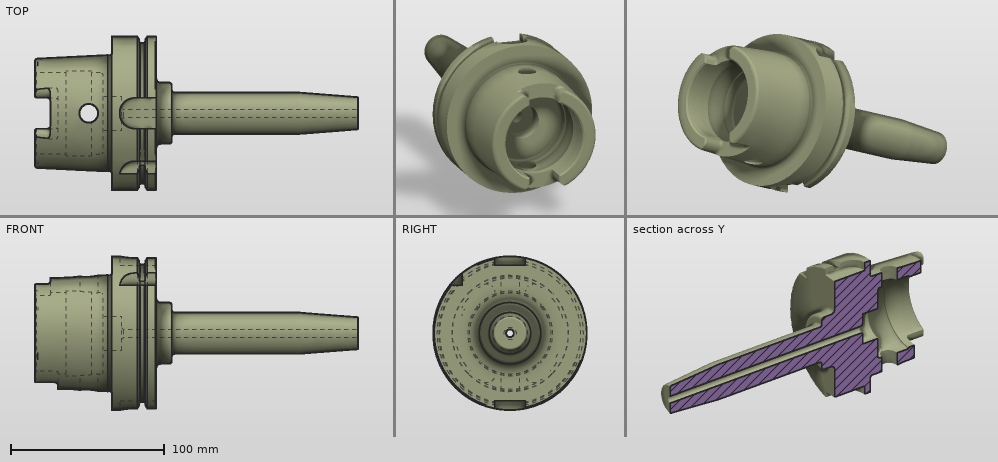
import cadquery as cq
import math


TAPER_LENGTH = 50.0
TAPER_GAUGE_D = 75.013
TAPER_GAUGE_X = -10.0
TAPER_RATIO = 9.98
TAPER_END_FILLET = 2.0
NECK_D = 75.42
NECK_LENGTH = 2.6
NECK_FILLET = 1.3

FLANGE_D = 100.0
FLANGE_LENGTH = 29.0
FLANGE_END_FILLET = 0.8
GROOVE_CENTER_X = 19.75
GROOVE_BOTTOM_D = 91.6
GROOVE_BOTTOM_WIDTH = 3.6
GROOVE_BOTTOM_FILLET = 0.6
GROOVE_FLANK_DEPTH = 2.5
GROOVE_HALF_ANGLE = 30.0

COLLAR_D = 40.0
COLLAR_END_X = 39.0
COLLAR_BASE_FILLET = 2.5
COLLAR_EDGE_FILLET = 2.0
SHANK_D = 27.0
SHANK_BASE_FILLET = 1.6
TIP_X = 160.0
TIP_D = 21.0
TIP_HALF_ANGLE = 4.5
TIP_FILLET = 1.0

BORE_D = 53.0
BORE_CHAMFER = 1.0
BORE_FLOOR_X = -6.0
BORE_FLOOR_FILLET = 1.5
RECESS_D = 55.0
RECESS_START_X = -30.0
RECESS_END_X = -13.5

COOLANT_SOCKET_D = 22.38
COOLANT_SOCKET_DEPTH = 12.0
COOLANT_HOLE_D = 4.92
COUNTERSINK_D = 8.0

ACCESS_HOLE_D = 12.0
ACCESS_HOLE_X = -15.0

KEYWAY_WIDTH = 20.0
KEYWAY_FLAT_Z = 32.0
KEYWAY_CORNER_R = 5.0
KEYWAY_MOUTH_R = 1.6
KEYWAY_FLOOR_R = 2.0
KEYWAY_DEPTH_TOP = 10.0
KEYWAY_DEPTH_BOTTOM = 15.0

FLANGE_SLOT_WIDTH = 20.0
FLANGE_SLOT_START_X = 5.0
FLANGE_SLOT_FLOOR_Z = 44.0
NOTCH_CORNER_D = 88.0

REACH = 60.0


def revolve_profile(profile):
    return profile.close().revolve(360, (0, 0, 0), (1, 0, 0))


def round_edge_at(body, x, radius, fillet):
    """Fillet the circular edge of the given radius whose plane is at x."""
    tolerance = 0.01
    corner = cq.selectors.BoxSelector(
        (x - tolerance, -radius - tolerance, -radius - tolerance),
        (x + tolerance, radius + tolerance, radius + tolerance),
        boundingbox=True,
    )
    edges = [e for e in body.edges(corner).vals() if abs(e.radius() - radius) < tolerance]
    return body.newObject(edges).fillet(fillet)


def taper_radius(x):
    return (TAPER_GAUGE_D + (x - TAPER_GAUGE_X) / TAPER_RATIO) / 2


def make_taper():
    small_r = taper_radius(-TAPER_LENGTH)
    neck_r = NECK_D / 2
    profile = (
        cq.Workplane("XY")
        .moveTo(-TAPER_LENGTH, 0)
        .lineTo(-TAPER_LENGTH, small_r)
        .lineTo(-NECK_LENGTH, taper_radius(-NECK_LENGTH))
        .lineTo(-NECK_LENGTH, neck_r)
        .lineTo(0, neck_r)
        .lineTo(0, 0)
    )
    return round_edge_at(revolve_profile(profile), -TAPER_LENGTH, small_r, TAPER_END_FILLET)


def make_flange():
    return (
        cq.Workplane("YZ")
        .circle(FLANGE_D / 2)
        .extrude(FLANGE_LENGTH)
        .faces(">X")
        .edges()
        .fillet(FLANGE_END_FILLET)
    )


def make_groove_cutter():
    flange_r = FLANGE_D / 2
    bottom_r = GROOVE_BOTTOM_D / 2
    half_bottom = GROOVE_BOTTOM_WIDTH / 2
    flank_foot_r = flange_r - GROOVE_FLANK_DEPTH
    half_top = half_bottom + GROOVE_FLANK_DEPTH * math.tan(math.radians(GROOVE_HALF_ANGLE))
    left = GROOVE_CENTER_X - half_bottom
    right = GROOVE_CENTER_X + half_bottom
    profile = (
        cq.Workplane("XY")
        .moveTo(GROOVE_CENTER_X - half_top, flange_r)
        .lineTo(left, flank_foot_r)
        .lineTo(left, bottom_r)
        .lineTo(right, bottom_r)
        .lineTo(right, flank_foot_r)
        .lineTo(GROOVE_CENTER_X + half_top, flange_r)
    )
    ring = revolve_profile(profile)
    ring = round_edge_at(ring, left, bottom_r, GROOVE_BOTTOM_FILLET)
    return round_edge_at(ring, right, bottom_r, GROOVE_BOTTOM_FILLET)


def make_shank():
    collar_r = COLLAR_D / 2
    shank_r = SHANK_D / 2
    tip_r = TIP_D / 2
    cone_start_x = TIP_X - (shank_r - tip_r) / math.tan(math.radians(TIP_HALF_ANGLE))
    profile = (
        cq.Workplane("XY")
        .moveTo(0, 0)
        .lineTo(0, collar_r)
        .lineTo(COLLAR_END_X, collar_r)
        .lineTo(COLLAR_END_X, shank_r)
        .lineTo(cone_start_x, shank_r)
        .lineTo(TIP_X, tip_r)
        .lineTo(TIP_X, 0)
    )
    shank = revolve_profile(profile)
    shank = round_edge_at(shank, COLLAR_END_X, collar_r, COLLAR_EDGE_FILLET)
    shank = round_edge_at(shank, COLLAR_END_X, shank_r, SHANK_BASE_FILLET)
    return round_edge_at(shank, TIP_X, tip_r, TIP_FILLET)


def make_bore_cutter():
    bore_r = BORE_D / 2
    recess_r = RECESS_D / 2
    profile = (
        cq.Workplane("XY")
        .moveTo(-TAPER_LENGTH, 0)
        .lineTo(-TAPER_LENGTH, bore_r + BORE_CHAMFER)
        .lineTo(-TAPER_LENGTH + BORE_CHAMFER, bore_r)
        .lineTo(RECESS_START_X, bore_r)
        .lineTo(RECESS_START_X, recess_r)
        .lineTo(RECESS_END_X, recess_r)
        .lineTo(RECESS_END_X, bore_r)
        .lineTo(BORE_FLOOR_X, bore_r)
        .lineTo(BORE_FLOOR_X, 0)
    )
    return round_edge_at(revolve_profile(profile), BORE_FLOOR_X, bore_r, BORE_FLOOR_FILLET)


def make_coolant_cutter():
    socket_floor_x = BORE_FLOOR_X + COOLANT_SOCKET_DEPTH
    socket_r = COOLANT_SOCKET_D / 2
    hole_r = COOLANT_HOLE_D / 2
    countersink_r = COUNTERSINK_D / 2
    countersink_depth = countersink_r - hole_r
    profile = (
        cq.Workplane("XY")
        .moveTo(BORE_FLOOR_X, 0)
        .lineTo(BORE_FLOOR_X, socket_r)
        .lineTo(socket_floor_x, socket_r)
        .lineTo(socket_floor_x, countersink_r)
        .lineTo(socket_floor_x + countersink_depth, hole_r)
        .lineTo(TIP_X, hole_r)
        .lineTo(TIP_X, 0)
    )
    return revolve_profile(profile)


def make_access_hole_cutter():
    return (
        cq.Workplane("XY")
        .center(ACCESS_HOLE_X, 0)
        .circle(ACCESS_HOLE_D / 2)
        .extrude(REACH, both=True)
    )


def make_keyway_cutter(depth):
    """Upper keyway: a slot that opens into a flat across the taper wall."""
    half_width = KEYWAY_WIDTH / 2
    shoulder_y = half_width + KEYWAY_CORNER_R
    corner_z = KEYWAY_FLAT_Z - KEYWAY_CORNER_R
    corner_offset = KEYWAY_CORNER_R * math.sqrt(0.5)
    arc_y = shoulder_y - corner_offset
    arc_z = corner_z + corner_offset
    slot = (
        cq.Workplane("YZ", origin=(-TAPER_LENGTH, 0, 0))
        .moveTo(-half_width, 0)
        .lineTo(-half_width, corner_z)
        .threePointArc((-arc_y, arc_z), (-shoulder_y, KEYWAY_FLAT_Z))
        .lineTo(-REACH, KEYWAY_FLAT_Z)
        .lineTo(-REACH, REACH)
        .lineTo(REACH, REACH)
        .lineTo(REACH, KEYWAY_FLAT_Z)
        .lineTo(shoulder_y, KEYWAY_FLAT_Z)
        .threePointArc((arc_y, arc_z), (half_width, corner_z))
        .lineTo(half_width, 0)
        .close()
        .extrude(depth)
    )
    slot = slot.faces(">X").edges().fillet(KEYWAY_FLOOR_R)

    mouth_y = half_width + KEYWAY_MOUTH_R
    mouth_offset = KEYWAY_MOUTH_R * (1 - math.sqrt(0.5))
    mouth_x = -TAPER_LENGTH + KEYWAY_MOUTH_R
    arc_x = -TAPER_LENGTH + mouth_offset
    mouth_arc_y = half_width + mouth_offset
    mouth = (
        cq.Workplane("XY")
        .moveTo(-TAPER_LENGTH, -mouth_y)
        .threePointArc((arc_x, -mouth_arc_y), (mouth_x, -half_width))
        .lineTo(mouth_x, half_width)
        .threePointArc((arc_x, mouth_arc_y), (-TAPER_LENGTH, mouth_y))
        .close()
        .extrude(REACH)
    )
    return slot.union(mouth)


def make_flange_slot_cutter(center_y, floor_z):
    """Slot open towards the tip, with a half-round closed end."""
    slot_r = FLANGE_SLOT_WIDTH / 2
    round_center_x = FLANGE_SLOT_START_X + slot_r
    return (
        cq.Workplane("XY", origin=(round_center_x, center_y, floor_z))
        .moveTo(FLANGE_LENGTH - round_center_x, slot_r)
        .lineTo(0, slot_r)
        .threePointArc((-slot_r, 0), (0, -slot_r))
        .lineTo(FLANGE_LENGTH - round_center_x, -slot_r)
        .close()
        .extrude(REACH)
    )


def upside_down(cutter):
    return cutter.rotate((0, 0, 0), (1, 0, 0), 180)


body = make_taper().union(make_flange()).union(make_shank())
body = round_edge_at(body, 0, NECK_D / 2, NECK_FILLET)
body = round_edge_at(body, FLANGE_LENGTH, COLLAR_D / 2, COLLAR_BASE_FILLET)

body = body.cut(make_groove_cutter())
body = body.cut(make_bore_cutter())
body = body.cut(make_coolant_cutter())
body = body.cut(make_access_hole_cutter())

body = body.cut(make_keyway_cutter(KEYWAY_DEPTH_TOP))
body = body.cut(upside_down(make_keyway_cutter(KEYWAY_DEPTH_BOTTOM)))

flange_slot = make_flange_slot_cutter(0, FLANGE_SLOT_FLOOR_Z)
body = body.cut(flange_slot).cut(upside_down(flange_slot))

notch_corner = NOTCH_CORNER_D / 2 * math.sqrt(0.5)
notch_center_y = -notch_corner - FLANGE_SLOT_WIDTH / 2
result = body.cut(make_flange_slot_cutter(notch_center_y, notch_corner))